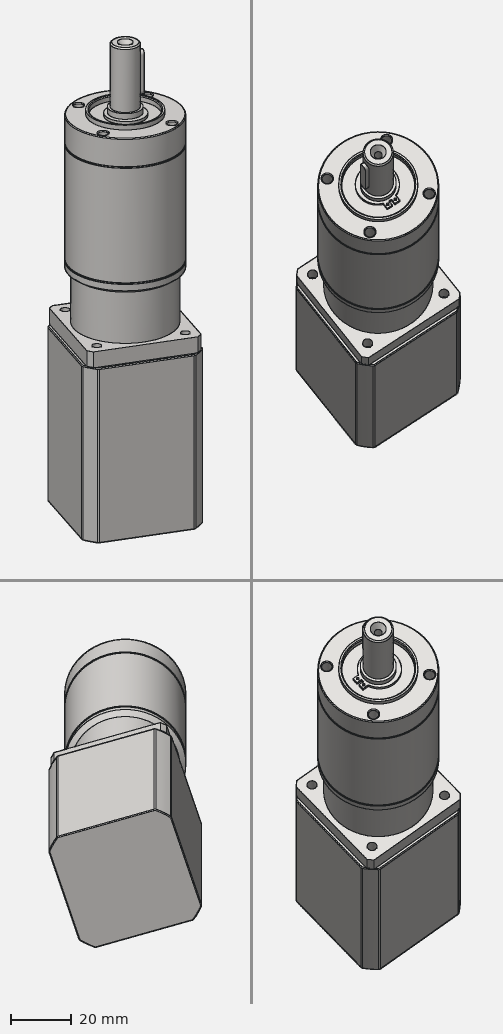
import cadquery as cq
import math

corner_diameter = 54.2

motor_side = 42.3
motor_height = 63.0
motor_edge_chamfer = 0.3

flange_side = 40.0
flange_thickness = 5.8
flange_hole_diameter = 3.2
flange_hole_spacing = 31.0

total_height = 169.3
neck_diameter = 36.0
neck_top = 87.2
barrel_diameter = 40.0
barrel_top = 143.4
barrel_chamfer = 0.3
rear_taper_height = 1.4
groove_width = 0.5
groove_depth = 0.2
rear_groove_z = 91.0
front_groove_z = 132.9

face_hole_diameter = 3.4
face_hole_mouth = 4.0
face_hole_depth = 10.0
face_hole_circle = 34.0
face_hole_count = 4
face_hole_start_angle = 45
rim_outer_diameter = 26.0
rim_inner_diameter = 24.0
rim_height = 1.7
rim_chamfer = 0.3
recess_depth = 2.0

shaft_diameter = 10.0
shaft_chamfer = 0.5
shoulder_diameter = 11.9
shoulder_top = 146.1
centre_hole_diameter = 2.5
centre_hole_mouth = 5.2
centre_mouth_angle = 60
centre_hole_depth = 9.0

key_width = 3.0
key_length = 16.0
key_bottom = 149.8
key_projection = 1.2

ring_diameter = 14.5
ring_offset = 0.5
ring_thickness = 1.0
lug_length = 2.4
lug_width = 2.0
lug_gap = 1.0
lug_end_x = -8.6
lug_hole_diameter = 0.8

face_mouth_angle = 90
drill_point_angle = 118

flange_top = motor_height + flange_thickness
rim_top = barrel_top + rim_height
recess_floor = rim_top - recess_depth


def cylinder(diameter, bottom, top):
    return cq.Workplane("XY").workplane(offset=bottom).circle(diameter / 2).extrude(top - bottom)


def tube(outer, inner, bottom, top):
    return cylinder(outer, bottom, top).cut(cylinder(inner, bottom, top))


def cone_between(bottom_diameter, top_diameter, bottom, top):
    cone = cq.Solid.makeCone(bottom_diameter / 2, top_diameter / 2, top - bottom, cq.Vector(0, 0, bottom))
    return cq.Workplane(obj=cone)


def cone_height(diameter_change, angle):
    return diameter_change / 2 / math.tan(math.radians(angle / 2))


def drilled_hole(diameter, depth, mouth_diameter, mouth_angle, top):
    """Cutter for a blind hole on the Z axis with a conical mouth and a drill point."""
    bottom = top - depth
    point = bottom - cone_height(diameter, drill_point_angle)
    mouth_bottom = top - cone_height(mouth_diameter - diameter, mouth_angle)
    return (
        cylinder(diameter, bottom, top)
        .union(cone_between(0, diameter, point, bottom))
        .union(cone_between(diameter, mouth_diameter, mouth_bottom, top))
    )


def round_cornered_column(side, bottom, top):
    column = cq.Workplane("XY").workplane(offset=bottom).rect(side, side).extrude(top - bottom)
    return column.intersect(cylinder(corner_diameter, bottom, top))


def make_motor():
    return round_cornered_column(motor_side, 0, motor_height).edges().chamfer(motor_edge_chamfer)


def make_flange():
    flange = round_cornered_column(flange_side, motor_height, flange_top)
    return (
        flange.faces(">Z").workplane()
        .rect(flange_hole_spacing, flange_hole_spacing, forConstruction=True)
        .vertices().hole(flange_hole_diameter)
    )


def make_barrel():
    taper_top = neck_top + rear_taper_height
    taper = cone_between(neck_diameter, barrel_diameter, neck_top, taper_top)
    barrel = cylinder(barrel_diameter, taper_top, barrel_top)
    barrel = barrel.faces(">Z").chamfer(barrel_chamfer)
    barrel = barrel.union(taper)
    for groove_z in (rear_groove_z, front_groove_z):
        barrel = barrel.cut(tube(
            barrel_diameter + 2 * groove_depth, barrel_diameter - 2 * groove_depth,
            groove_z - groove_width / 2, groove_z + groove_width / 2,
        ))
    barrel = barrel.union(cylinder(rim_outer_diameter, barrel_top, rim_top))
    barrel = barrel.cut(cylinder(rim_inner_diameter, recess_floor, rim_top))
    rim_mouth_diameter = rim_inner_diameter + 2 * rim_chamfer
    barrel = barrel.cut(
        cone_between(rim_inner_diameter, rim_mouth_diameter, rim_top - rim_chamfer, rim_top)
    )
    hole = drilled_hole(
        face_hole_diameter, face_hole_depth, face_hole_mouth, face_mouth_angle, barrel_top
    )
    for index in range(face_hole_count):
        angle = face_hole_start_angle + index * 360 / face_hole_count
        placed_hole = hole.translate((face_hole_circle / 2, 0, 0)).rotate((0, 0, 0), (0, 0, 1), angle)
        barrel = barrel.cut(placed_hole)
    return barrel


def make_shaft():
    shaft = cylinder(shaft_diameter, recess_floor, total_height).faces(">Z").chamfer(shaft_chamfer)
    shaft = shaft.union(cylinder(shoulder_diameter, recess_floor, shoulder_top))
    return shaft.cut(drilled_hole(
        centre_hole_diameter, centre_hole_depth, centre_hole_mouth, centre_mouth_angle, total_height
    ))


def make_key():
    return (
        cq.Workplane("XZ").center(0, key_bottom + key_length / 2)
        .slot2D(key_length, key_width, 90)
        .extrude(-(shaft_diameter / 2 + key_projection))
        .cut(cylinder(shaft_diameter / 2, 0, total_height))
    )


def make_retaining_ring():
    ring_top = recess_floor + ring_thickness
    ring = cylinder(ring_diameter, recess_floor, ring_top).translate((ring_offset, 0, 0))
    for side in (-1, 1):
        lug_y = side * (lug_gap + lug_width) / 2
        lug_x = lug_end_x + lug_length / 2
        lug = (
            cq.Workplane("XY").workplane(offset=recess_floor).center(lug_x, lug_y)
            .rect(lug_length, lug_width).circle(lug_hole_diameter / 2).extrude(ring_thickness)
        )
        ring = ring.union(lug)
    return ring


def make_gearbox():
    neck = cylinder(neck_diameter, flange_top, neck_top)
    gearbox = make_flange().union(neck).union(make_barrel())
    gearbox = gearbox.union(make_retaining_ring())
    return gearbox.union(make_shaft()).union(make_key())


motor = make_motor()
gearbox = make_gearbox()
result = cq.Compound.makeCompound([motor.val(), gearbox.val()])